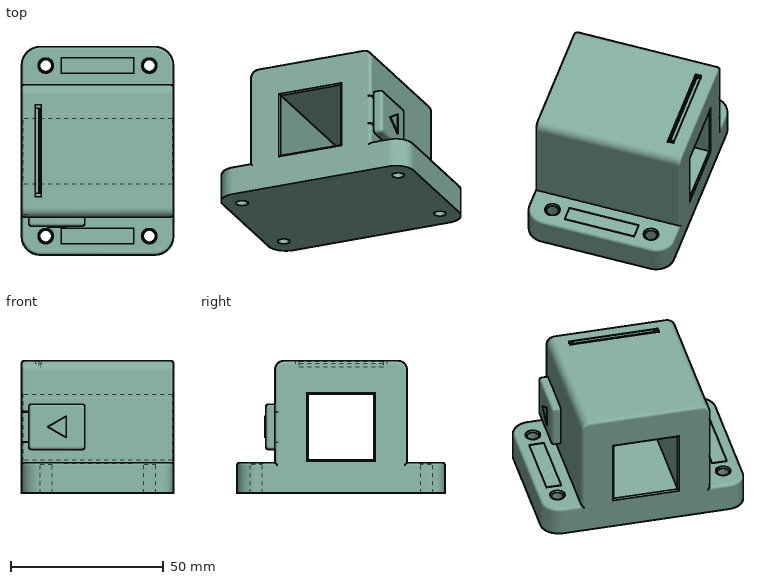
import cadquery as cq
import math

length_x = 50.0
width_y = 68.5
height_z = 43.5

flange_height = 10.0
flange_corner_radius = 6.2
edge_radius = 1.0

body_width = 43.5
body_top_radius = 3.0

passage_size = 21.5
passage_chamfer = 0.5

hole_spacing_x = 34.05
hole_spacing_y = 56.0
hole_diameter = 4.0
hole_chamfer = 0.5

label_length = 24.0
label_width = 5.0
label_depth = 0.2

slot_offset = 4.5
slot_width = 2.0
slot_length = 30.15
slot_depth = 0.8
gate_length = 27.9
gate_thickness = 1.2
gate_depth = 0.2
gate_gap = 0.5
gate_gap_depth = 2.05

latch_offset = 2.4
latch_length = 18.5
latch_height = 15.0
latch_thickness = 3.0
arrow_length = 6.0
arrow_relief = 0.3

tongue_height = 9.7
groove_width = 0.2
groove_depth = 0.95

mid_height = height_z / 2
end_x = -length_x / 2
body_side_y = -body_width / 2
latch_face_y = body_side_y - latch_thickness
latch_center_x = end_x + latch_offset + latch_length / 2


def block(x_start, y_start, z_start, x_size, y_size, z_size):
    """Box with its lowest corner at the given point."""
    corner = (x_start, y_start, z_start)
    return cq.Workplane("XY").box(x_size, y_size, z_size, centered=False).translate(corner)


def make_flange():
    plate = cq.Workplane("XY").box(length_x, width_y, flange_height, centered=(True, True, False))
    plate = plate.edges("|Z").fillet(flange_corner_radius)
    return plate.faces(">Z").edges().fillet(edge_radius)


def make_body():
    body = cq.Workplane("XY").box(length_x, body_width, height_z, centered=(True, True, False))
    body = body.edges("|X and >Z").fillet(body_top_radius)
    return body.faces("<X or >X").edges("not <Z").fillet(edge_radius)


def make_latch():
    latch = block(
        end_x + latch_offset,
        latch_face_y,
        mid_height - latch_height / 2,
        latch_length,
        latch_thickness + groove_depth,
        latch_height,
    )
    return latch.edges("not >Y").fillet(edge_radius)


def make_arrow():
    """Raised equilateral triangle on the latch, pointing to -X."""
    half_base = arrow_length * math.tan(math.radians(30))
    tip_x = latch_center_x - arrow_length / 2
    base_x = latch_center_x + arrow_length / 2
    corners = [(tip_x, mid_height), (base_x, mid_height + half_base), (base_x, mid_height - half_base)]
    return cq.Workplane("XZ", origin=(0, latch_face_y, 0)).polyline(corners).close().extrude(arrow_relief)


def make_passage():
    passage = cq.Workplane("YZ").rect(passage_size, passage_size).extrude(length_x / 2, both=True)
    mouth_size = passage_size + 2 * passage_chamfer
    for side in (-1, 1):
        mouth = (
            cq.Workplane("YZ", origin=(side * length_x / 2, 0, 0))
            .rect(mouth_size, mouth_size)
            .workplane(offset=-side * passage_chamfer)
            .rect(passage_size, passage_size)
            .loft()
        )
        passage = passage.union(mouth)
    return passage.translate((0, 0, mid_height))


def make_holes():
    hole = cq.Workplane("XY").circle(hole_diameter / 2).extrude(flange_height)
    countersink = (
        cq.Workplane("XY", origin=(0, 0, flange_height))
        .circle(hole_diameter / 2 + hole_chamfer)
        .workplane(offset=-hole_chamfer)
        .circle(hole_diameter / 2)
        .loft()
    )
    hole = hole.union(countersink).val()
    return (
        cq.Workplane("XY")
        .rarray(hole_spacing_x, hole_spacing_y, 2, 2)
        .eachpoint(lambda place: hole.moved(place), combine=False)
    )


def make_label_recesses():
    return (
        cq.Workplane("XY", origin=(0, 0, flange_height))
        .rarray(0.7, hole_spacing_y, 1, 2)
        .rect(label_length, label_width)
        .extrude(-label_depth)
    )


def make_gate_slot():
    slot_x = end_x + slot_offset

    def trench(x_start, x_size, y_size, depth):
        return block(x_start, -y_size / 2, height_z - depth, x_size, y_size, depth)

    mouth = trench(slot_x, slot_width, slot_length, slot_depth)
    gate = trench(slot_x, gate_thickness, gate_length, slot_depth).translate((0, 0, -gate_depth))
    gap = trench(slot_x + gate_thickness, gate_gap, gate_length, gate_gap_depth)
    return mouth.cut(gate).union(gap)


def make_tongue_grooves():
    lower = block(
        end_x,
        body_side_y,
        mid_height - tongue_height / 2 - groove_width,
        latch_offset,
        groove_depth,
        groove_width,
    )
    upper = lower.translate((0, 0, tongue_height + groove_width))
    return lower.union(upper)


result = (
    make_flange()
    .union(make_body())
    .cut(make_tongue_grooves())
    .union(make_latch())
    .union(make_arrow())
    .cut(make_passage())
    .cut(make_holes())
    .cut(make_label_recesses())
    .cut(make_gate_slot())
)